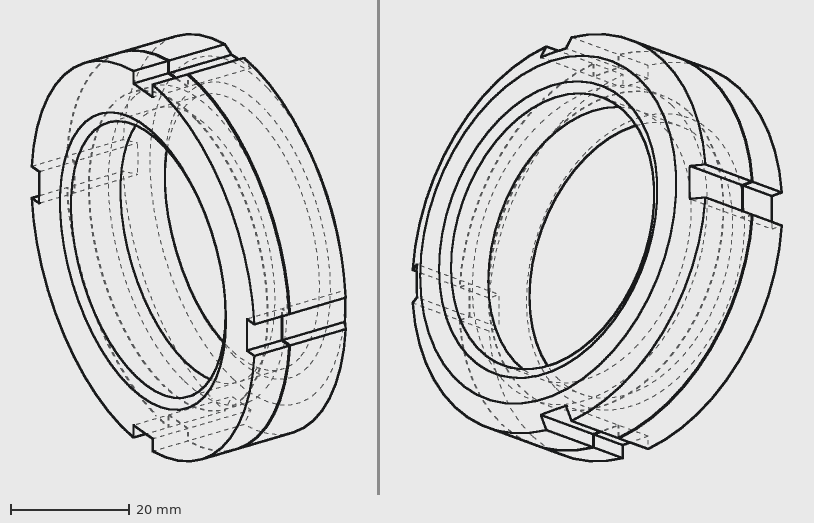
import cadquery as cq
import math

outer_radius = 35.0
bore_radius = 48.376 / 2
total_length = 21.0

flange_length = 7.0
flange_gap = 0.2
spigot_radius = 28.0
spigot_end = 11.0

bore_mouth_radius = 26.0
bore_chamfer_angle = 30.0
bore_chamfer_depth = (bore_mouth_radius - bore_radius) * math.tan(math.radians(bore_chamfer_angle))

rear_face_radius = 30.5
rim_chamfer_angle = 30.0
rim_chamfer_depth = (outer_radius - rear_face_radius) * math.tan(math.radians(rim_chamfer_angle))

slot_count = 4
slot_width = 6.0
slot_depth = 2.5


def revolve_about_y(outline):
    """Turn a closed (radius, Y) outline into a solid of revolution."""
    return cq.Workplane("XY").polyline(outline).close().revolve(360, (0, 0), (0, 1))


def cut_spanner_slots(ring):
    """Cut evenly spaced slots along the full length of the rim."""
    cutter = (
        cq.Workplane("XY")
        .box(2 * slot_depth, total_length, slot_width, centered=(False, False, True))
        .translate((outer_radius - slot_depth, 0, 0))
    )
    for index in range(slot_count):
        ring = ring.cut(cutter.rotate((0, 0, 0), (0, 1, 0), index * 360 / slot_count))
    return ring


def make_front_ring():
    """Front flange with a spigot behind it and a chamfered bore mouth."""
    ring = revolve_about_y([
        (bore_mouth_radius, 0),
        (outer_radius, 0),
        (outer_radius, flange_length),
        (spigot_radius, flange_length),
        (spigot_radius, spigot_end),
        (bore_radius, spigot_end),
        (bore_radius, bore_chamfer_depth),
    ])
    return cut_spanner_slots(ring)


def make_rear_ring():
    """Rear ring with a spigot recess, a chamfered rim and a chamfered bore mouth."""
    flange_face = flange_length + flange_gap
    ring = revolve_about_y([
        (bore_radius, spigot_end),
        (spigot_radius, spigot_end),
        (spigot_radius, flange_face),
        (outer_radius, flange_face),
        (outer_radius, total_length - rim_chamfer_depth),
        (rear_face_radius, total_length),
        (bore_mouth_radius, total_length),
        (bore_radius, total_length - bore_chamfer_depth),
    ])
    return cut_spanner_slots(ring)


front_ring = make_front_ring()
rear_ring = make_rear_ring()

result = cq.Compound.makeCompound([front_ring.val(), rear_ring.val()])